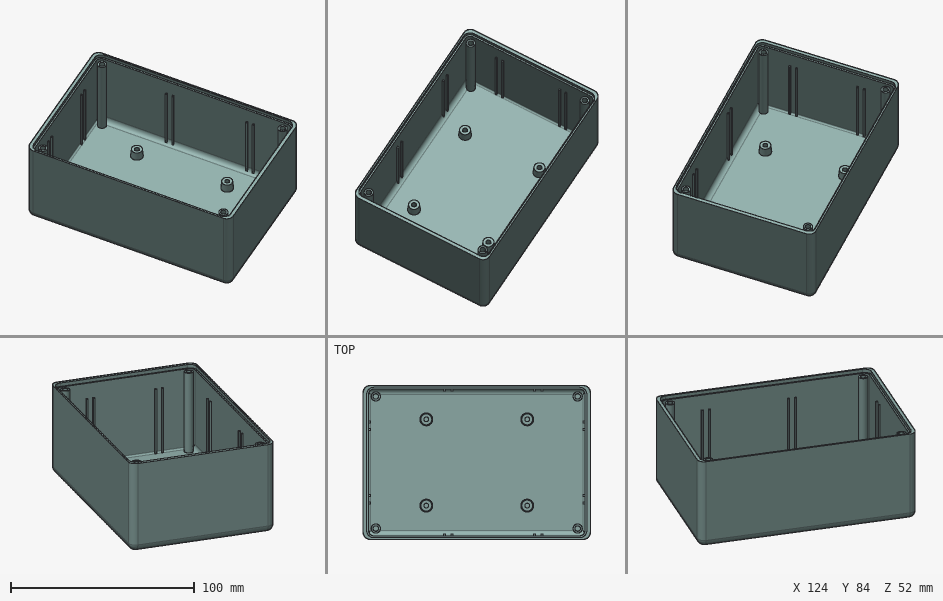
import cadquery as cq

LENGTH = 124.0
WIDTH = 84.0
HEIGHT = 52.0
OUTER_RADIUS = 4.0

END_WALL = 3.0
SIDE_WALL = 2.0
FLOOR = 3.0
CAVITY_LENGTH = LENGTH - 2 * END_WALL
CAVITY_WIDTH = WIDTH - 2 * SIDE_WALL
CAVITY_CORNER_RADIUS = 3.0
SIDE_FLOOR_RADIUS = 3.0
END_FLOOR_RADIUS = 1.0

LEDGE_WIDTH = 1.0
LEDGE_DEPTH = 2.0
LEDGE_CORNER_RADIUS = CAVITY_CORNER_RADIUS + LEDGE_WIDTH
LEDGE_Z = HEIGHT - LEDGE_DEPTH

POST_DIAMETER = 5.0
POST_HOLE = 3.0
POST_X = 55.0
POST_Y = 36.0

STANDOFF_BASE_DIAMETER = 7.0
STANDOFF_TOP_DIAMETER = 6.0
STANDOFF_HOLE = 2.6
STANDOFF_HEIGHT = 5.0
STANDOFF_X = 27.5
STANDOFF_Y = 23.5

RIB_WIDTH = 1.0
RIB_PROTRUSION = 1.0
RIB_SPACING = 4.0
RIB_TOP_Z = 41.0
SIDE_GUIDE_X = (-15.5, 33.5)
END_GUIDE_Y = (-20.0, 20.0)


def block(length, width, base_z, top_z):
    """Box centred on the Z axis between two heights."""
    return cq.Workplane("XY").workplane(offset=base_z).rect(length, width).extrude(top_z - base_z)


def four_corners(x, y):
    return [(side_x * x, side_y * y) for side_x in (-1, 1) for side_y in (-1, 1)]


def outer_block():
    return block(LENGTH, WIDTH, 0, HEIGHT).edges("|Z or <Z").fillet(OUTER_RADIUS)


def cavity():
    """Inner volume, with a larger floor radius along the side walls than along the end walls."""
    blank = block(CAVITY_LENGTH, CAVITY_WIDTH, FLOOR, HEIGHT)
    side_rounded = blank.edges("|X and <Z").fillet(SIDE_FLOOR_RADIUS)
    end_rounded = blank.edges("|Y and <Z").fillet(END_FLOOR_RADIUS)
    upright = blank.edges("|Z").fillet(CAVITY_CORNER_RADIUS)
    return upright.intersect(side_rounded).intersect(end_rounded)


def lid_recess():
    length = CAVITY_LENGTH + 2 * LEDGE_WIDTH
    width = CAVITY_WIDTH + 2 * LEDGE_WIDTH
    return block(length, width, LEDGE_Z, HEIGHT).edges("|Z").fillet(LEDGE_CORNER_RADIUS)


def posts():
    """Tubes standing on the floor; their bores end on the floor and its rounded edges."""
    plane = cq.Workplane("XY").workplane(offset=FLOOR)
    tubes = plane.pushPoints(four_corners(POST_X, POST_Y)).circle(POST_DIAMETER / 2).circle(POST_HOLE / 2)
    return tubes.extrude(LEDGE_Z - FLOOR)


def standoffs():
    cone = cq.Solid.makeCone(STANDOFF_BASE_DIAMETER / 2, STANDOFF_TOP_DIAMETER / 2, STANDOFF_HEIGHT)
    bore = cq.Solid.makeCylinder(STANDOFF_HOLE / 2, STANDOFF_HEIGHT)
    standoff = cone.cut(bore)
    plane = cq.Workplane("XY").workplane(offset=FLOOR)
    return plane.pushPoints(four_corners(STANDOFF_X, STANDOFF_Y)).eachpoint(standoff.moved)


def guide_ribs():
    """Ribs centred on the wall faces, so half of each is buried in the wall."""
    offsets = (-RIB_SPACING / 2, RIB_SPACING / 2)
    walls = (-1, 1)
    side_points = [(x + d, wall * CAVITY_WIDTH / 2) for x in SIDE_GUIDE_X for d in offsets for wall in walls]
    end_points = [(wall * CAVITY_LENGTH / 2, y + d) for y in END_GUIDE_Y for d in offsets for wall in walls]
    depth = 2 * RIB_PROTRUSION
    height = RIB_TOP_Z - FLOOR
    plane = cq.Workplane("XY").workplane(offset=FLOOR)
    side_ribs = plane.pushPoints(side_points).rect(RIB_WIDTH, depth).extrude(height)
    end_ribs = plane.pushPoints(end_points).rect(depth, RIB_WIDTH).extrude(height)
    return side_ribs.union(end_ribs)


shell = outer_block().cut(cavity()).cut(lid_recess())
result = shell.union(posts()).union(standoffs()).union(guide_ribs())